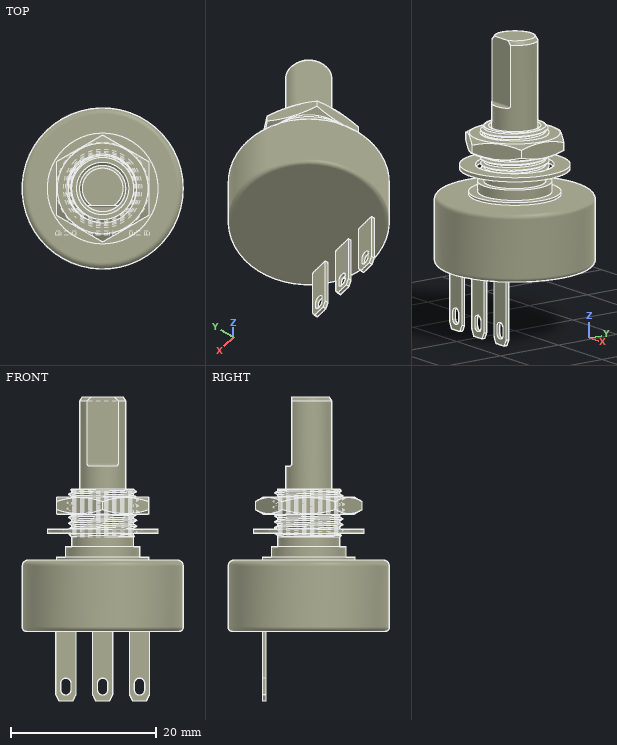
import cadquery as cq
import math


housing_diameter = 22.22
housing_height = 9.85
top_edge_radius = 0.85
bottom_edge_radius = 0.6

flange_diameter = 12.75
flange_thickness = 0.38
collar_diameter = 10.27
collar_height = 1.45

thread_root_radius = 4.28
thread_height = 0.45
thread_pitch = 0.8
thread_flank_angle = 30.0
thread_embed = 0.05
thread_overrun = 4 * thread_pitch
crest_height_at_x = 13.7
thread_bottom = 13.0
bushing_top = 19.62
end_bevel = 0.5
bore_mouth_radius = 3.6

shaft_radius = 3.2
shaft_chamfer_height = 0.6
shaft_chamfer_width = 0.38
flat_distance = 2.35
flat_floor = 22.75
flat_corner_radius = 0.35

nut_sides = 6
nut_across_flats = 12.75
nut_bottom = 16.15
nut_thickness = 2.4
nut_face_radius = 6.25
nut_chamfer_angle = 30.0
nut_bore_radius = 4.35
nut_groove_depth = 0.6
nut_groove_height_at_x = 18.1

washer_radius = 7.65
washer_hole_radius = 5.4
washer_bottom = 13.5
washer_thickness = 0.6

terminal_count = 3
terminal_spacing = 5.07
terminal_width = 2.8
terminal_thickness = 0.5
terminal_length = 9.6
terminal_y = -6.12
tip_width = 1.9
tip_height = 0.92
eyelet_width = 1.4
eyelet_length = 2.3
eyelet_height_above_tip = 2.0

overall_length = 41.95
shaft_top = overall_length - terminal_length


def cylinder(radius, bottom, top):
    return cq.Workplane("XY").workplane(offset=bottom).circle(radius).extrude(top - bottom)


def make_housing():
    drum = cylinder(housing_diameter / 2, 0, housing_height)
    return drum.faces(">Z").edges().fillet(top_edge_radius).faces("<Z").edges().fillet(bottom_edge_radius)


def make_helical_ridge(base_radius, crest_height, height_at_x, bottom, top):
    """V-shaped right-handed helical ridge that runs past both the bottom and the top level.

    Its crest crosses the +X side at height_at_x and again at every pitch above and below it.
    """
    turns_below = math.ceil((height_at_x - bottom) / thread_pitch) + 1
    start = height_at_x - turns_below * thread_pitch
    run = top + 2 * thread_pitch - start
    crest_radius = base_radius + crest_height
    foot_radius = base_radius - thread_embed
    half_foot = (crest_height + thread_embed) * math.tan(math.radians(thread_flank_angle))
    helix = cq.Wire.makeHelix(thread_pitch, run, foot_radius)
    return (
        cq.Workplane("XZ")
        .polyline([(foot_radius, -half_foot), (crest_radius, 0), (foot_radius, half_foot)])
        .close()
        .sweep(cq.Workplane(helix), isFrenet=True)
        .translate((0, 0, start))
    )


def make_threaded_rod():
    """Threaded length of the bushing, bevelled at both ends down to the thread root."""
    ridge = make_helical_ridge(
        thread_root_radius, thread_height, crest_height_at_x, thread_bottom, bushing_top
    )
    core = cylinder(thread_root_radius, thread_bottom - thread_overrun, bushing_top + thread_overrun)
    envelope = (
        cylinder(thread_root_radius + end_bevel, thread_bottom, bushing_top).edges().chamfer(end_bevel)
    )
    return core.union(ridge).intersect(envelope)


def make_bushing():
    flange_top = housing_height + flange_thickness
    collar_top = flange_top + collar_height
    mouth_depth = bore_mouth_radius - shaft_radius
    mouth = (
        cq.Workplane("XZ")
        .polyline([(0, bushing_top), (bore_mouth_radius, bushing_top),
                   (shaft_radius, bushing_top - mouth_depth), (0, bushing_top - mouth_depth)])
        .close()
        .revolve(360, (0, 0, 0), (0, 1, 0))
    )
    return (
        cylinder(flange_diameter / 2, housing_height, flange_top)
        .union(cylinder(collar_diameter / 2, flange_top, collar_top))
        .union(cylinder(thread_root_radius, collar_top, thread_bottom))
        .union(make_threaded_rod())
        .cut(mouth)
    )


def make_shaft():
    shaft = (
        cylinder(shaft_radius, housing_height, shaft_top)
        .faces(">Z")
        .chamfer(shaft_chamfer_height, shaft_chamfer_width)
    )
    relief = (
        cq.Workplane("XY")
        .box(2 * shaft_radius, shaft_radius, shaft_top - flat_floor, centered=(True, False, False))
        .translate((0, -flat_distance - shaft_radius, flat_floor))
        .edges("|X and >Y and <Z")
        .fillet(flat_corner_radius)
    )
    return shaft.cut(relief)


def make_threaded_sleeve(outer_radius, nut_top):
    """Round sleeve with an internal thread, taller than the nut at both ends."""
    groove = make_helical_ridge(
        nut_bore_radius, nut_groove_depth, nut_groove_height_at_x, nut_bottom, nut_top
    )
    sleeve_bottom = nut_bottom - thread_overrun
    sleeve_top = nut_top + thread_overrun
    bore = cylinder(nut_bore_radius, sleeve_bottom, sleeve_top)
    return cylinder(outer_radius, sleeve_bottom, sleeve_top).cut(bore).cut(groove)


def make_nut():
    """Hexagon with flats facing +X and -X, corners bevelled on both faces and a threaded bore."""
    half_side_angle = 180 / nut_sides
    corner_radius = nut_across_flats / 2 / math.cos(math.radians(half_side_angle))
    bevel_drop = (corner_radius - nut_face_radius) * math.tan(math.radians(nut_chamfer_angle))
    nut_top = nut_bottom + nut_thickness
    hexagon = (
        cq.Workplane("XY")
        .workplane(offset=nut_bottom)
        .polygon(nut_sides, 2 * corner_radius)
        .extrude(nut_thickness)
        .rotate((0, 0, 0), (0, 0, 1), half_side_angle)
    )
    bevelled_disc = (
        cq.Workplane("XZ")
        .polyline([
            (0, nut_bottom),
            (nut_face_radius, nut_bottom),
            (corner_radius, nut_bottom + bevel_drop),
            (corner_radius, nut_top - bevel_drop),
            (nut_face_radius, nut_top),
            (0, nut_top),
        ])
        .close()
        .revolve(360, (0, 0, 0), (0, 1, 0))
    )
    return make_threaded_sleeve(corner_radius, nut_top).intersect(hexagon).intersect(bevelled_disc)


def make_terminal(x):
    """Flat tab with a tapered tip and a slotted eyelet."""
    outline = [
        (-terminal_width / 2, 0),
        (terminal_width / 2, 0),
        (terminal_width / 2, tip_height - terminal_length),
        (tip_width / 2, -terminal_length),
        (-tip_width / 2, -terminal_length),
        (-terminal_width / 2, tip_height - terminal_length),
    ]
    tab = cq.Workplane("XZ").polyline(outline).close().extrude(terminal_thickness / 2, both=True)
    eyelet = (
        cq.Workplane("XZ")
        .center(0, eyelet_height_above_tip - terminal_length)
        .slot2D(eyelet_length, eyelet_width, 90)
        .extrude(terminal_thickness, both=True)
    )
    return tab.cut(eyelet).translate((x, terminal_y, 0))


def make_potentiometer():
    """Housing, bushing, shaft, nut and terminals as one solid."""
    body = make_housing().union(make_bushing()).union(make_shaft()).union(make_nut())
    for index in range(terminal_count):
        body = body.union(make_terminal((index - (terminal_count - 1) / 2) * terminal_spacing))
    return body


def make_washer():
    """Loose washer around the thread, clear of the nut and of the collar."""
    washer_top = washer_bottom + washer_thickness
    hole = cylinder(washer_hole_radius, washer_bottom, washer_top)
    return cylinder(washer_radius, washer_bottom, washer_top).cut(hole)


potentiometer = make_potentiometer()
washer = make_washer()
result = cq.Compound.makeCompound([potentiometer.val(), washer.val()])